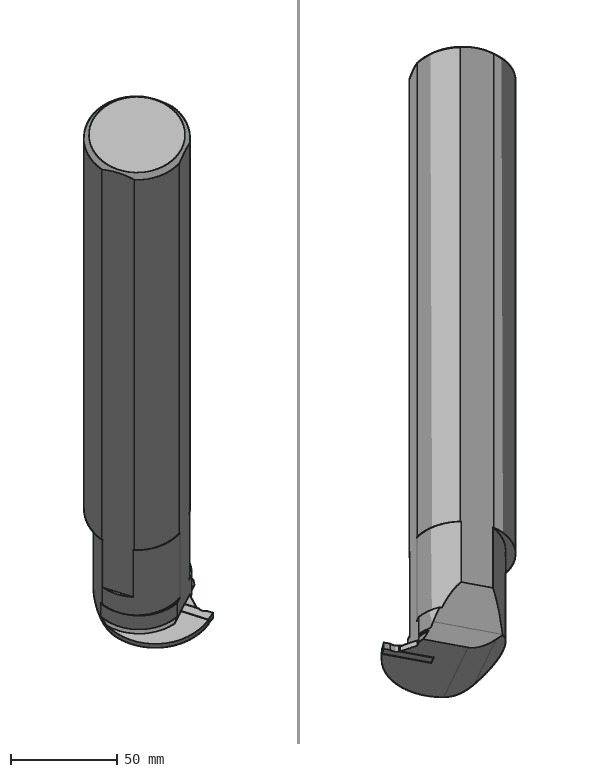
import cadquery as cq

total_length = 350.0
shank_diameter = 50.0
shank_radius = shank_diameter / 2
width_across_flats = 47.2
flat_offset = width_across_flats / 2
side_flat_offset = 24.0
top_chamfer = 2.5
neck_top = 65.0

neck_diameter = 49.7
neck_radius = neck_diameter / 2
front_flat_end = 29.0
throat_top = 15.5
throat_shift = 1.0
foot_chamfer = 1.5
blade_bottom = 0.5
blade_top = 3.5
blade_diameter = 58.5
blade_radius = blade_diameter / 2
blade_right_x = 38.5
blade_center_x = blade_right_x - blade_radius
blade_left_x = blade_center_x - blade_radius
gullet_start_y = 6.3

toe_height = 12.0
toe_slope_end = (-11.5, 5.0)
toe_arc_end_x = 1.0
back_clearance_height = 29.0
back_slope_end = (16.8, 8.0)
back_arc_middle = (15.0, 4.0)
back_arc_end_y = 12.0

total_width = 63.7
insert_tip_x = total_width - shank_radius
insert_back_x = 14.0
insert_thickness = 4.5
insert_top = 4.0
insert_clearance = 0.7
end_relief = 0.7
chip_groove_start_x = 31.0
chip_groove_end_x = 35.5
chip_groove_depth = 0.7

margin = 17.5


def cylinder(radius, bottom, top, center_x=0.0):
    return cq.Workplane("XY", origin=(center_x, 0, bottom)).circle(radius).extrude(top - bottom)


def block(x_range, y_range, z_range):
    """Box given by its two limits along each axis."""
    corner = (x_range[0], y_range[0], z_range[0])
    size = (x_range[1] - x_range[0], y_range[1] - y_range[0], z_range[1] - z_range[0])
    return cq.Workplane("XY").box(*size, centered=False).translate(corner)


def make_shank():
    return cylinder(shank_radius, neck_top, total_length).faces(">Z").chamfer(top_chamfer)


def make_neck():
    """Neck with its shifted throat, limited on the -X side by the blade's cylinder."""
    upper = cylinder(neck_radius, throat_top, neck_top)
    throat = cylinder(neck_radius, blade_bottom, throat_top, throat_shift)
    foot = cq.Workplane("XY").add(
        cq.Solid.makeCone(
            neck_radius + foot_chamfer,
            neck_radius,
            foot_chamfer,
            pnt=cq.Vector(throat_shift, 0, blade_top),
        )
    )
    wall = cylinder(blade_radius, blade_bottom, neck_top, blade_center_x)
    return upper.union(throat).union(foot).intersect(wall)


def cut_flats(bar):
    """Flats on the front, back and +X side; the front one stops above the throat."""
    reach = shank_radius + margin
    across = (-reach, reach)
    beyond = (flat_offset, reach)
    front = block(across, (-reach, -flat_offset), (front_flat_end, total_length))
    back = block(across, beyond, (0, total_length))
    side = block((side_flat_offset, reach), across, (0, total_length))
    return bar.cut(front).cut(back).cut(side)


def make_blade():
    """Front half of a disc, closed behind by the chip gullet."""
    disc = cylinder(blade_radius, blade_bottom, blade_top, blade_center_x)
    gullet_end_x = side_flat_offset + gullet_start_y
    outline = (
        cq.Workplane("XY", origin=(0, 0, blade_bottom))
        .moveTo(insert_back_x, gullet_start_y)
        .lineTo(side_flat_offset, gullet_start_y)
        .lineTo(gullet_end_x, 0)
        .lineTo(blade_right_x, 0)
        .lineTo(blade_right_x, -blade_radius)
        .lineTo(blade_left_x, -blade_radius)
        .lineTo(blade_left_x, 0)
        .lineTo(insert_back_x, 0)
        .close()
        .extrude(blade_top - blade_bottom)
    )
    return disc.intersect(outline)


def toe_clearance():
    """Slope and arc under the -X side of the neck."""
    return (
        cq.Workplane("XZ")
        .moveTo(blade_left_x, toe_height)
        .lineTo(*toe_slope_end)
        .tangentArcPoint((toe_arc_end_x, blade_bottom), relative=False)
        .lineTo(toe_arc_end_x, -margin)
        .lineTo(blade_left_x - margin, -margin)
        .lineTo(blade_left_x - margin, toe_height)
        .close()
        .extrude(shank_radius + margin, both=True)
    )


def back_clearance():
    """Steep slope and arc under the +Y side of the neck."""
    return (
        cq.Workplane("YZ")
        .moveTo(flat_offset, back_clearance_height)
        .lineTo(*back_slope_end)
        .threePointArc(back_arc_middle, (back_arc_end_y, blade_bottom))
        .lineTo(back_arc_end_y, -margin)
        .lineTo(flat_offset + margin, -margin)
        .lineTo(flat_offset + margin, back_clearance_height)
        .close()
        .extrude(shank_radius + margin, both=True)
    )


def make_insert():
    """Cutting insert with a chip groove in its rake face and a sloping underside."""
    groove_middle_x = (chip_groove_start_x + chip_groove_end_x) / 2
    body = (
        cq.Workplane("XY")
        .moveTo(insert_back_x, -insert_thickness)
        .lineTo(insert_tip_x - end_relief, -insert_thickness)
        .lineTo(insert_tip_x, 0)
        .lineTo(chip_groove_end_x, 0)
        .threePointArc((groove_middle_x, -chip_groove_depth), (chip_groove_start_x, 0))
        .lineTo(insert_back_x, 0)
        .close()
        .extrude(insert_top)
    )
    underside = (
        cq.Workplane("YZ", origin=(insert_back_x, 0, 0))
        .moveTo(0, 0)
        .lineTo(-insert_thickness, insert_clearance)
        .lineTo(-insert_thickness, 0)
        .close()
        .extrude(insert_tip_x - insert_back_x)
    )
    return body.cut(underside)


def make_holder():
    bar = cut_flats(make_shank().union(make_neck()))
    holder = bar.union(make_blade()).cut(toe_clearance()).cut(back_clearance())
    seat = block((insert_back_x, insert_tip_x), (-insert_thickness, 0), (0, insert_top))
    return holder.cut(seat)


holder = make_holder()
insert = make_insert()

result = cq.Compound.makeCompound([holder.val(), insert.val()])